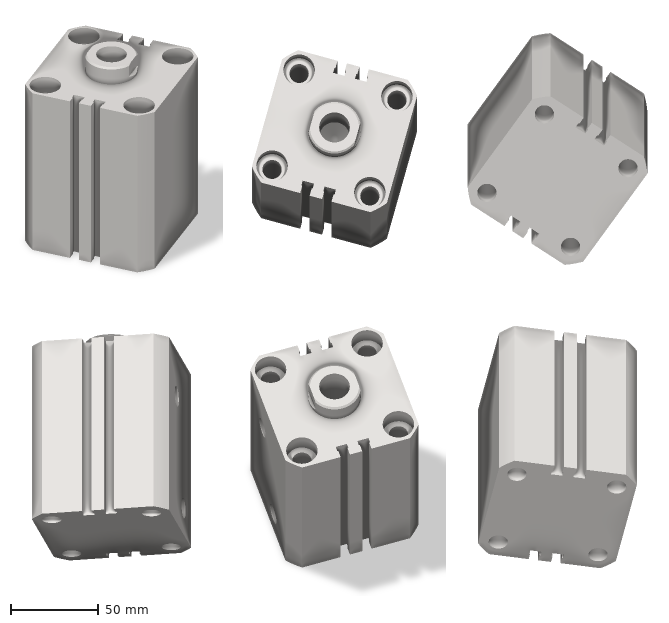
import cadquery as cq
import math

housing_side = 80.0
housing_height = 105.0
corner_radius = 51.5

bolt_offset = 29.0
bolt_diameter = 11.0
counterbore_diameter = 18.0
counterbore_depth = 10.5

slot_offset = 6.5
slot_mouth_width = 5.6
slot_floor_width = 6.7
slot_depth = 7.4
slot_mouth_depth = 4.4

port_mouth_diameter = 12.0
port_floor_diameter = 10.9
port_depth = 11.6
port_offset = 10.0
upper_port_height = 77.0
lower_port_height = 16.0

overall_height = 116.0
rod_diameter = 30.0
rod_embedded_length = 34.8
rod_chamfer = 1.0
flat_width = 27.0
flat_height = 8.0
rod_hole_diameter = 17.5
rod_hole_depth = 29.0
drill_point_angle = 118.0

rod_bottom = housing_height - rod_embedded_length


def make_blank():
    """Square block whose corners are turned to the corner radius."""
    block = cq.Workplane("XY").rect(housing_side, housing_side).extrude(housing_height)
    turned_round = cq.Workplane("XY").circle(corner_radius).extrude(housing_height)
    return block.intersect(turned_round)


def make_slot(x, side):
    """Cutter for one full-height sensor slot; side is -1 for the -Y face and +1 for the +Y face."""
    face = side * housing_side / 2
    shoulder = face - side * slot_mouth_depth
    floor = face - side * slot_depth
    mouth_half = slot_mouth_width / 2
    floor_half = slot_floor_width / 2
    outline = [
        (x - mouth_half, face),
        (x - mouth_half, shoulder),
        (x - floor_half, shoulder),
        (x - floor_half, floor),
        (x + floor_half, floor),
        (x + floor_half, shoulder),
        (x + mouth_half, shoulder),
        (x + mouth_half, face),
    ]
    return cq.Workplane("XY").polyline(outline).close().extrude(housing_height)


def make_port(y, z):
    """Cutter for one blind port that narrows from its mouth on the -X face to a flat floor."""
    cone = cq.Solid.makeCone(
        port_mouth_diameter / 2,
        port_floor_diameter / 2,
        port_depth,
        cq.Vector(-housing_side / 2, y, z),
        cq.Vector(1, 0, 0),
    )
    return cq.Workplane(cone)


def make_housing():
    housing = make_blank()
    housing = (
        housing.faces(">Z").workplane()
        .rect(2 * bolt_offset, 2 * bolt_offset, forConstruction=True)
        .vertices()
        .cboreHole(bolt_diameter, counterbore_diameter, counterbore_depth)
    )
    for side in (-1, 1):
        for x in (-slot_offset, slot_offset):
            housing = housing.cut(make_slot(x, side))
    housing = housing.cut(make_port(port_offset, upper_port_height))
    housing = housing.cut(make_port(-port_offset, lower_port_height))
    rod_bore = (
        cq.Workplane("XY").workplane(offset=rod_bottom)
        .circle(rod_diameter / 2)
        .extrude(rod_embedded_length)
    )
    return housing.cut(rod_bore)


def make_flat_cutter(side):
    """Cutter for one wrench flat that runs out to the rod surface at 45 degrees."""
    flat = side * flat_width / 2
    runout = (rod_diameter - flat_width) / 2
    surface = side * rod_diameter / 2
    flat_bottom = overall_height - flat_height
    outline = [
        (flat, overall_height),
        (flat, flat_bottom),
        (surface, flat_bottom - runout),
        (surface, overall_height),
    ]
    return cq.Workplane("XZ").polyline(outline).close().extrude(rod_diameter / 2, both=True)


def make_rod_hole():
    """Cutter for the blind axial hole with a conical drill point."""
    radius = rod_hole_diameter / 2
    cone_base = overall_height - rod_hole_depth
    point_length = radius / math.tan(math.radians(drill_point_angle / 2))
    outline = [
        (0, overall_height),
        (radius, overall_height),
        (radius, cone_base),
        (0, cone_base - point_length),
    ]
    return cq.Workplane("XZ").polyline(outline).close().revolve(360, (0, 0, 0), (0, 1, 0))


def make_rod():
    rod = (
        cq.Workplane("XY").workplane(offset=rod_bottom)
        .circle(rod_diameter / 2)
        .extrude(overall_height - rod_bottom)
        .faces(">Z").chamfer(rod_chamfer)
    )
    for side in (-1, 1):
        rod = rod.cut(make_flat_cutter(side))
    return rod.cut(make_rod_hole())


housing = make_housing()
piston_rod = make_rod()

result = cq.Compound.makeCompound([housing.val(), piston_rod.val()])